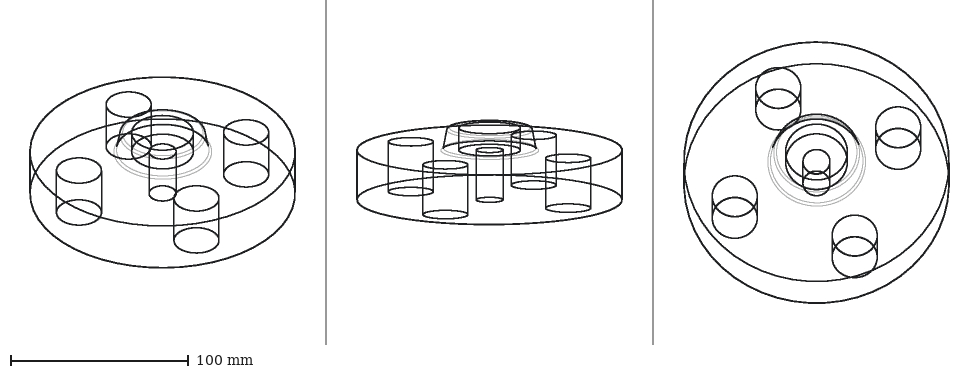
import cadquery as cq

flange_diameter = 149.3
flange_thickness = 28.5

total_height = 41.2
hub_base_diameter = 52.5
hub_top_diameter = 47.8
hub_edge_radius = 1.5

socket_diameter = 34.8
socket_depth = 12.7
bore_diameter = 15.2

bolt_circle_diameter = 101.5
bolt_hole_diameter = 25.4
bolt_hole_count = 4


def make_body():
    """Revolve the flange with its hub, then round the root and rim of the hub."""
    profile = (
        cq.Workplane("XZ")
        .polyline(
            [
                (0, 0),
                (flange_diameter / 2, 0),
                (flange_diameter / 2, flange_thickness),
                (hub_base_diameter / 2, flange_thickness),
                (hub_top_diameter / 2, total_height),
                (0, total_height),
            ]
        )
        .close()
    )
    body = profile.revolve(360, (0, 0, 0), (0, 1, 0))
    hub_flank = body.faces("%CONE")
    return hub_flank.edges("%CIRCLE").fillet(hub_edge_radius)


def cut_stepped_bore(body):
    """Cut the socket from the hub face and the smaller bore through the rest."""
    hub_face = body.faces(">Z").workplane(origin=(0, 0, 0))
    return hub_face.cboreHole(bore_diameter, socket_diameter, socket_depth)


def cut_bolt_holes(body):
    """Cut the equally spaced bolt holes on the X and Y axes."""
    holes = (
        cq.Workplane("XY")
        .polarArray(bolt_circle_diameter / 2, 0, 360, bolt_hole_count)
        .circle(bolt_hole_diameter / 2)
        .extrude(flange_thickness)
    )
    return body.cut(holes)


result = cut_bolt_holes(cut_stepped_bore(make_body()))